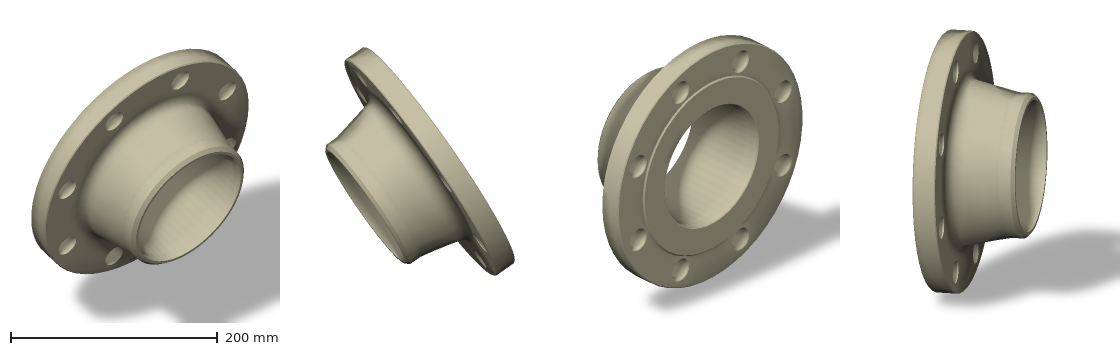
import cadquery as cq
import math

total_length = 89.0
raised_face_height = 1.5
flange_back = 24.0
cone_start = 30.0
cone_end = 72.5
neck_start = 73.7
bevel_start = 85.5

flange_diameter = 255.0
raised_face_diameter = 187.7
cone_base_diameter = 160.6
neck_diameter = 141.3
bevel_end_diameter = 134.1
bore_diameter = 128.3

bolt_hole_diameter = 22.2
bolt_circle_diameter = 216.0
bolt_hole_count = 8

rim_chamfer = 1.0
bolt_hole_chamfer = 0.8
bore_chamfer = 0.8

flange_thickness = flange_back - raised_face_height


def make_flange_plate():
    """Round plate with both rim edges broken."""
    return (
        cq.Workplane("YZ", origin=(raised_face_height, 0, 0))
        .circle(flange_diameter / 2)
        .extrude(flange_thickness)
        .edges()
        .chamfer(rim_chamfer)
    )


def make_hub():
    """Raised face and tapered welding neck, revolved about X."""
    cone_radius = cone_base_diameter / 2
    neck_radius = neck_diameter / 2
    blend_middle = (cone_end + neck_start) / 2
    cone_slope = (neck_radius - cone_radius) / (blend_middle - cone_start)
    cone_end_radius = neck_radius + cone_slope * (cone_end - blend_middle)
    cone_angle = math.atan(-cone_slope)
    root_fillet = (cone_start - flange_back) / (1 - math.sin(cone_angle))
    root_center_x = flange_back + root_fillet
    root_center_r = cone_radius + root_fillet * math.cos(cone_angle)
    middle_angle = math.radians(225) - cone_angle / 2
    root_middle = (
        root_center_x + root_fillet * math.cos(middle_angle),
        root_center_r + root_fillet * math.sin(middle_angle),
    )
    raised_radius = raised_face_diameter / 2
    return (
        cq.Workplane("XZ")
        .moveTo(0, 0)
        .lineTo(0, raised_radius - raised_face_height)
        .lineTo(raised_face_height, raised_radius)
        .lineTo(flange_back, raised_radius)
        .lineTo(flange_back, root_center_r)
        .threePointArc(root_middle, (cone_start, cone_radius))
        .lineTo(cone_end, cone_end_radius)
        .tangentArcPoint((neck_start, neck_radius), relative=False)
        .lineTo(bevel_start, neck_radius)
        .lineTo(total_length, bevel_end_diameter / 2)
        .lineTo(total_length, 0)
        .close()
        .revolve(360, (0, 0, 0), (1, 0, 0))
    )


def cut_bore(body):
    """Through bore with a small chamfer at the sealing face."""
    bore = cq.Workplane("YZ").circle(bore_diameter / 2).extrude(total_length)
    mouth = (
        cq.Workplane("YZ")
        .circle(bore_diameter / 2 + bore_chamfer)
        .extrude(bore_chamfer, taper=45)
    )
    return body.cut(bore).cut(mouth)


def cut_bolt_holes(body):
    """Evenly spaced holes straddling the Y and Z axes, chamfered at the front."""
    hole = (
        cq.Workplane("YZ", origin=(raised_face_height, 0, 0))
        .center(bolt_circle_diameter / 2, 0)
        .circle(bolt_hole_diameter / 2)
        .extrude(flange_thickness)
    )
    mouth_radius = bolt_hole_diameter / 2 + bolt_hole_chamfer
    mouth = (
        cq.Workplane("YZ", origin=(raised_face_height, 0, 0))
        .center(bolt_circle_diameter / 2, 0)
        .circle(mouth_radius)
        .extrude(bolt_hole_chamfer, taper=45)
    )
    cutter = hole.union(mouth)
    pitch = 360 / bolt_hole_count
    for index in range(bolt_hole_count):
        body = body.cut(cutter.rotate((0, 0, 0), (1, 0, 0), (index + 0.5) * pitch))
    return body


result = cut_bolt_holes(cut_bore(make_flange_plate().union(make_hub())))